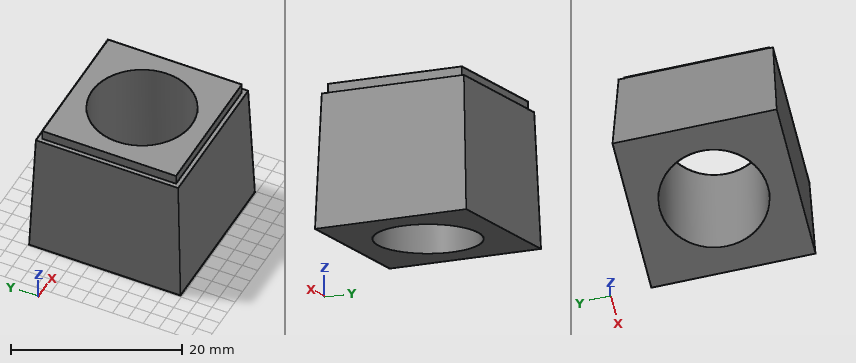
import cadquery as cq

base_side = 19.71
total_height = 17.7

step_side = 17.42
step_height = 1.25

shoulder_side = 18.53
body_height = total_height - step_height

bore_diameter = 12.99

body = (
    cq.Workplane("XY")
    .rect(base_side, base_side)
    .workplane(offset=body_height)
    .rect(shoulder_side, shoulder_side)
    .loft(ruled=True)
)

step = (
    cq.Workplane("XY")
    .workplane(offset=body_height)
    .rect(step_side, step_side)
    .extrude(step_height)
)

bore = cq.Workplane("XY").circle(bore_diameter / 2).extrude(total_height)

result = body.union(step).cut(bore)